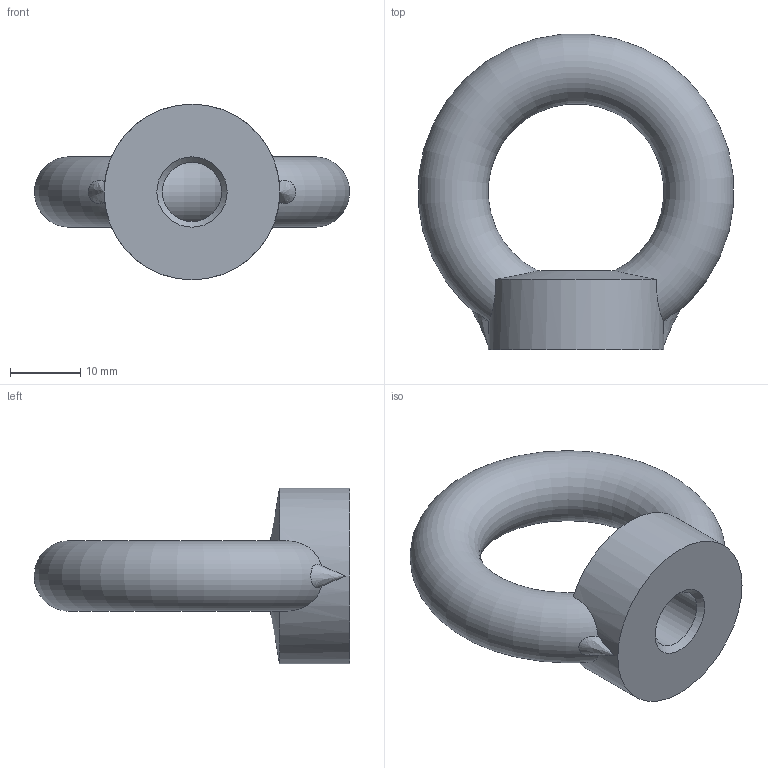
import cadquery as cq
import math


ring_outer_diameter = 45.0
wire_diameter = 10.0
ring_centre_radius = (ring_outer_diameter - wire_diameter) / 2

base_diameter = 25.0
base_height = 10.0
base_radius = base_diameter / 2
base_face_y = -ring_outer_diameter / 2
shoulder_y = base_face_y + base_height

top_flat_radius = 5.5
top_slope_degrees = 10.0
top_height = (base_radius - top_flat_radius) * math.tan(math.radians(top_slope_degrees))
top_y = shoulder_y + top_height

hole_diameter = 8.38
mouth_diameter = 10.0
mouth_depth = (mouth_diameter - hole_diameter) / 2

web_tip_height = 0.65
web_length = 5.2
web_end_radius = 2.45
web_flare_sag = 0.1


def make_ring():
    """Closed round ring lying in the XY plane."""
    wire_section = cq.Workplane("YZ").center(-ring_centre_radius, 0).circle(wire_diameter / 2)
    return wire_section.revolve(360, (ring_centre_radius, 0), (ring_centre_radius, 1))


def make_base():
    """Cylinder with a shallow conical top, turned about the Y axis."""
    half_profile = (
        cq.Workplane("XY")
        .moveTo(0, base_face_y)
        .lineTo(base_radius, base_face_y)
        .lineTo(base_radius, shoulder_y)
        .lineTo(top_flat_radius, top_y)
        .lineTo(0, top_y)
        .close()
    )
    return half_profile.revolve(360, (0, 0), (0, 1))


def make_hole():
    """Through hole of the base together with its countersink."""
    hole_radius = hole_diameter / 2
    half_profile = (
        cq.Workplane("XY")
        .moveTo(0, base_face_y)
        .lineTo(mouth_diameter / 2, base_face_y)
        .lineTo(hole_radius, base_face_y + mouth_depth)
        .lineTo(hole_radius, top_y)
        .lineTo(0, top_y)
        .close()
    )
    return half_profile.revolve(360, (0, 0), (0, 1))


def make_web():
    """Pointed flare on the +X wall, with its axis along the wall."""
    middle_point = (web_end_radius / 2 - web_flare_sag, web_length / 2)
    half_profile = (
        cq.Workplane("XY")
        .threePointArc(middle_point, (web_end_radius, web_length))
        .lineTo(0, web_length)
        .close()
    )
    flare = half_profile.revolve(360, (0, 0), (0, 1))
    return flare.translate((base_radius, base_face_y + web_tip_height, 0))


web = make_web()
body = make_ring().union(make_base()).union(web).union(web.mirror("YZ"))
result = body.cut(make_hole())